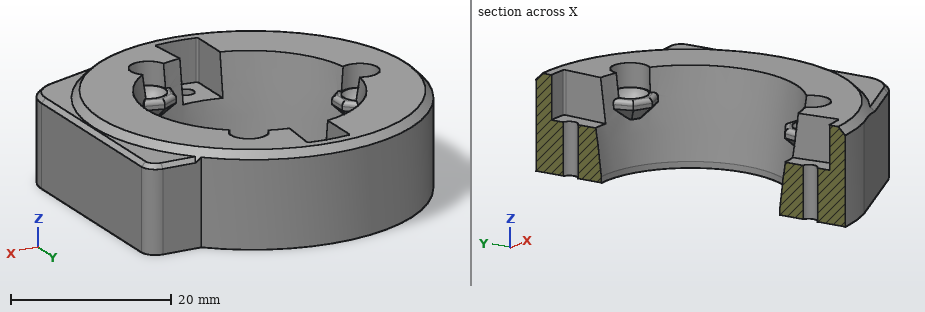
import cadquery as cq
import math

ring_radius = 22.63
ring_height = 13.0
rim_chamfer = 1.0

lug_height = ring_height - rim_chamfer
lug_reach = 23.38
lug_side_y = 16.1
lug_slope_start_x = 6.33
lug_slope_angle = math.radians(19.2)
lug_side_corner_radius = 2.0
lug_slope_corner_radius = 5.0
lug_chamfer = 0.6

bore_center_x = 0.38
bore_bottom_radius = 26.05 / 2
bore_top_radius = 14.6
bore_land_height = 0.9

seat_angles = (60, 180, 300)
seat_circle_radius = 15.25
seat_pocket_radius = 2.5
seat_ball_radius = 2.5
seat_rim_radius = 2.35
seat_ledge_z = 9.8

boss_apothem = 3.24
boss_side_count = 8
boss_straight_height = 1.2
boss_taper_height = 1.8
boss_taper_angle = 45
boss_edge_radius = 0.6

slot_left_x = -3.04
slot_outer_right_x = 3.0
slot_inner_right_x = 2.4
slot_inner_y = 13.0
slot_outer_radius = 20.3
slot_floor_z = 7.1
slot_corner_radius = 0.3
screw_hole_diameter = 2.2
screw_hole_y = 17.5


def outline_prism(height):
    """Round body with the lug: a straight +Y side, a flat +X side and a sloping -Y side."""
    side_start_x = math.sqrt(ring_radius**2 - lug_side_y**2)
    slope_start_y = -math.sqrt(ring_radius**2 - lug_slope_start_x**2)
    slope_end_y = slope_start_y + (lug_reach - lug_slope_start_x) * math.tan(lug_slope_angle)
    slope_corner = cq.selectors.NearestToPointSelector((lug_reach, slope_end_y, height / 2))
    prism = (
        cq.Workplane("XY")
        .moveTo(side_start_x, lug_side_y)
        .threePointArc((-ring_radius, 0), (lug_slope_start_x, slope_start_y))
        .lineTo(lug_reach, slope_end_y)
        .lineTo(lug_reach, lug_side_y)
        .close()
        .extrude(height)
    )
    prism = prism.edges("|Z").edges(">X").edges(">Y").fillet(lug_side_corner_radius)
    return prism.edges("|Z").edges(slope_corner).fillet(lug_slope_corner_radius)


def body():
    """The rim chamfer runs on past the ring, down to the chamfer along the lower lug top."""
    run_on = 2 * rim_chamfer
    rim_cone = (
        cq.Workplane("XZ")
        .moveTo(0, 0)
        .lineTo(ring_radius + run_on, 0)
        .lineTo(ring_radius + run_on, lug_height - run_on)
        .lineTo(ring_radius - rim_chamfer, ring_height)
        .lineTo(0, ring_height)
        .close()
        .revolve(360, (0, 0, 0), (0, 1, 0))
    )
    ring = outline_prism(ring_height).intersect(rim_cone)
    lug = outline_prism(lug_height).faces(">Z").edges().chamfer(lug_chamfer)
    return ring.union(lug)


def bore():
    return (
        cq.Workplane("XZ")
        .moveTo(0, 0)
        .lineTo(bore_bottom_radius, 0)
        .lineTo(bore_bottom_radius, bore_land_height)
        .lineTo(bore_top_radius, ring_height)
        .lineTo(0, ring_height)
        .close()
        .revolve(360, (0, 0, 0), (0, 1, 0))
        .translate((bore_center_x, 0, 0))
    )


def at_seat(shape, angle):
    return shape.translate((seat_circle_radius, 0, 0)).rotate((0, 0, 0), (0, 0, 1), angle)


def seat_boss():
    """Octagon with a flat facing the bore axis, rounded on top and tapered underneath."""
    half_step = 180 / boss_side_count
    diameter = 2 * boss_apothem / math.cos(math.radians(half_step))
    octagon = cq.Workplane("XY").polygon(boss_side_count, diameter)
    upper = octagon.extrude(-boss_straight_height).faces(">Z").edges().fillet(boss_edge_radius)
    lower = (
        cq.Workplane("XY", origin=(0, 0, -boss_straight_height))
        .polygon(boss_side_count, diameter)
        .extrude(-boss_taper_height, taper=boss_taper_angle)
    )
    boss = upper.union(lower).rotate((0, 0, 0), (0, 0, 1), half_step)
    return boss.translate((0, 0, seat_ledge_z))


def seat_pocket():
    """Round pocket from the top face, ending in a shallow spherical seat."""
    pocket = (
        cq.Workplane("XY", origin=(0, 0, seat_ledge_z))
        .circle(seat_pocket_radius)
        .extrude(ring_height - seat_ledge_z)
    )
    ball_rise = math.sqrt(seat_ball_radius**2 - seat_rim_radius**2)
    ball = cq.Workplane("XY", origin=(0, 0, seat_ledge_z + ball_rise)).sphere(seat_ball_radius)
    return pocket.union(ball)


def screw_slot():
    """Slot open to the bore and the top face, with a screw hole through its floor."""
    slot = (
        cq.Workplane("XY", origin=(0, 0, slot_floor_z))
        .moveTo(slot_left_x, slot_inner_y)
        .lineTo(slot_left_x, math.sqrt(slot_outer_radius**2 - slot_left_x**2))
        .threePointArc(
            (0, slot_outer_radius),
            (slot_outer_right_x, math.sqrt(slot_outer_radius**2 - slot_outer_right_x**2)),
        )
        .lineTo(slot_inner_right_x, slot_inner_y)
        .close()
        .extrude(ring_height - slot_floor_z)
    )
    slot = slot.edges("|Z").edges("not <Y").fillet(slot_corner_radius)
    hole = (
        cq.Workplane("XY")
        .center(0, screw_hole_y)
        .circle(screw_hole_diameter / 2)
        .extrude(ring_height)
    )
    return slot.union(hole)


result = body().cut(bore())
slot = screw_slot()
result = result.cut(slot).cut(slot.mirror("XZ"))
for angle in seat_angles:
    result = result.union(at_seat(seat_boss(), angle)).cut(at_seat(seat_pocket(), angle))